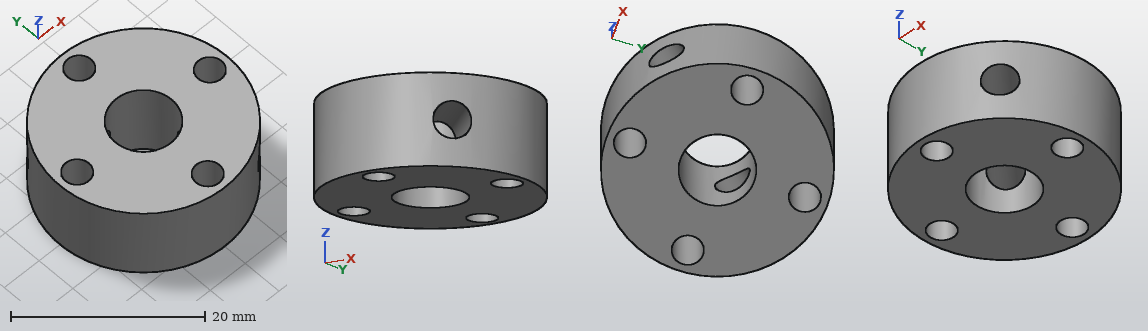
import cadquery as cq

outer_diameter = 24.0
height = 10.0
bore_diameter = outer_diameter / 3

bolt_hole_count = 4
bolt_hole_diameter = 3.3
bolt_circle_radius = 9.5

cross_hole_diameter = bore_diameter / 2
cross_hole_direction = cq.Vector(1, -1, 0)


def make_collar():
    return (
        cq.Workplane("XY")
        .circle(outer_diameter / 2)
        .circle(bore_diameter / 2)
        .extrude(height)
    )


def make_bolt_holes():
    return (
        cq.Workplane("XY")
        .polarArray(bolt_circle_radius, 0, 360, bolt_hole_count)
        .circle(bolt_hole_diameter / 2)
        .extrude(height)
    )


def make_cross_hole():
    diagonal_plane = cq.Plane(origin=(0, 0, height / 2), xDir=(0, 0, 1), normal=cross_hole_direction)
    return (
        cq.Workplane(diagonal_plane)
        .circle(cross_hole_diameter / 2)
        .extrude(outer_diameter, both=True)
    )


result = make_collar().cut(make_bolt_holes()).cut(make_cross_hole())